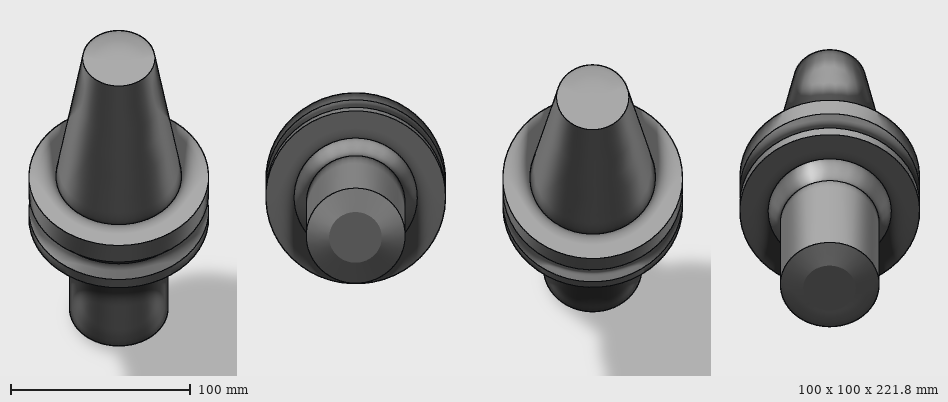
import cadquery as cq

overall_height = 221.8
shank_bottom = 4.0
neck_bottom = 69.9
flange_bottom = 82.0
groove_bottom = 89.2
groove_floor_bottom = 93.8
groove_floor_top = 99.8
groove_top = 104.5
flange_top = 118.9
taper_base = 120.0

tip_radius = 29.3 / 2
shank_radius = 55.0 / 2
neck_top_radius = 68.5 / 2
flange_radius = 100.0 / 2
groove_floor_radius = 85.0 / 2
taper_base_radius = 69.9 / 2

taper_ratio = 7 / 24
taper_top_radius = taper_base_radius - taper_ratio * (overall_height - taper_base) / 2

profile = (
    cq.Workplane("XZ")
    .moveTo(0, 0)
    .lineTo(tip_radius, 0)
    .lineTo(shank_radius, shank_bottom)
    .lineTo(shank_radius, neck_bottom)
    .lineTo(neck_top_radius, flange_bottom)
    .lineTo(flange_radius, flange_bottom)
    .lineTo(flange_radius, groove_bottom)
    .lineTo(groove_floor_radius, groove_floor_bottom)
    .lineTo(groove_floor_radius, groove_floor_top)
    .lineTo(flange_radius, groove_top)
    .lineTo(flange_radius, flange_top)
    .lineTo(taper_base_radius, flange_top)
    .lineTo(taper_base_radius, taper_base)
    .lineTo(taper_top_radius, overall_height)
    .lineTo(0, overall_height)
    .close()
)

result = profile.revolve(360, (0, 0, 0), (0, 1, 0))